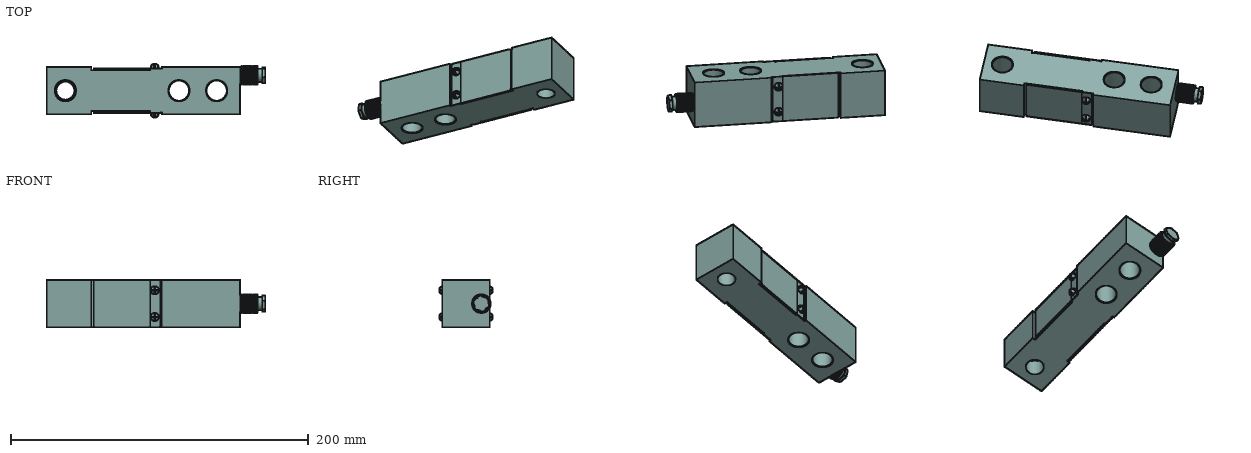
import cadquery as cq
import math


beam_length = 129.8
beam_side = 32.0
recess_start = 30.1
land_start = 69.5
recess_end = 77.4
recess_depth = 2.2
land_depth = 1.3

load_hole_x = 12.6
fixing_hole_x = 88.9
fixing_hole_pitch = 25.3
hole_diameter = 13.5
hole_mouth_diameter = 14.4
load_hole_lower_diameter = 12.0

cover_start = 31.6
cover_end = 76.4
cover_thickness = 0.5
cover_corner_radius = 1.0

overall_width = 36.3
screw_x = 72.5
screw_offset_z = 9.0
screw_diameter = 5.6
screw_slot_width = 0.6
screw_slot_depth = 2.0

overall_length = 146.9
gland_y = 10.3
thread_diameter = 12.6
thread_depth = 0.6
thread_pitch = 1.28
thread_crests = 9
first_crest = 1.2
tooth_crest_width = thread_pitch / 8
tooth_root_width = 7 * thread_pitch / 8
thread_length = 11.9
neck_diameter = 9.1
hex_length = 2.2
hex_corner_diameter = 11.5
hex_bevel_length = 0.5
hex_bevel_depth = 0.6
hex_turn = 18

half_side = beam_side / 2
land_y = half_side - land_depth
cover_face_y = land_y + cover_thickness
screw_height = overall_width / 2 - cover_face_y
screw_dome_height = math.hypot(screw_height, screw_slot_width / math.sqrt(2))


def make_beam():
    half_outline = [
        (0, half_side),
        (recess_start, half_side),
        (recess_start, half_side - recess_depth),
        (land_start, half_side - recess_depth),
        (land_start, land_y),
        (recess_end, land_y),
        (recess_end, half_side),
        (beam_length, half_side),
    ]
    mirrored_half = [(x, -y) for x, y in reversed(half_outline)]
    beam = (
        cq.Workplane("XY")
        .polyline(half_outline + mirrored_half)
        .close()
        .extrude(half_side, both=True)
    )
    beam = beam.cut(make_load_hole_cutter().translate((load_hole_x, 0, 0)))
    for x in (fixing_hole_x, fixing_hole_x + fixing_hole_pitch):
        beam = beam.cut(make_fixing_hole_cutter().translate((x, 0, 0)))
    return beam


def make_upper_hole_cutter():
    """Top half of a hole along Z, with a 45 degree countersink at its mouth."""
    radius = hole_diameter / 2
    mouth_radius = hole_mouth_diameter / 2
    profile = [
        (0, 0),
        (radius, 0),
        (radius, half_side - (mouth_radius - radius)),
        (mouth_radius, half_side),
        (0, half_side),
    ]
    return cq.Workplane("XZ").polyline(profile).close().revolve(360, (0, 0, 0), (0, 1, 0))


def make_fixing_hole_cutter():
    """Straight through hole, countersunk alike at both mouths."""
    upper = make_upper_hole_cutter()
    return upper.union(upper.mirror("XY"))


def make_load_hole_cutter():
    """Stepped through hole that narrows at mid-height."""
    lower = cq.Workplane("XY").circle(load_hole_lower_diameter / 2).extrude(-half_side)
    return make_upper_hole_cutter().union(lower)


def make_cover(side):
    """Thin plate lying on the land; side is +1 or -1 along Y."""
    length = cover_end - cover_start
    return (
        cq.Workplane("XY")
        .box(length, cover_thickness, beam_side)
        .edges("|Y")
        .fillet(cover_corner_radius)
        .translate(((cover_start + cover_end) / 2, side * (land_y + cover_thickness / 2), 0))
    )


def make_screw(side, z):
    """Domed head with a cross slot, standing on a cover plate."""
    radius = screw_diameter / 2
    middle_angle = math.radians(45)
    middle_point = (radius * math.sin(middle_angle), screw_dome_height * math.cos(middle_angle))
    head = (
        cq.Workplane("XY")
        .lineTo(radius, 0)
        .threePointArc(middle_point, (0, screw_dome_height))
        .close()
        .revolve(360, (0, 0, 0), (0, 1, 0))
    )
    slot_floor_y = screw_height - screw_slot_depth
    for size_x, size_z in (
        (screw_diameter, screw_slot_width),
        (screw_slot_width, screw_diameter),
    ):
        slot = cq.Workplane("XZ", origin=(0, slot_floor_y, 0)).rect(size_x, size_z)
        head = head.cut(slot.extrude(-screw_dome_height))
    if side < 0:
        head = head.mirror("XZ")
    return head.translate((screw_x, side * cover_face_y, z))


def make_gland():
    """Threaded sleeve, neck and hexagon in one piece along X."""
    crest_radius = thread_diameter / 2
    root_radius = crest_radius - thread_depth
    neck_radius = neck_diameter / 2
    thread_end = beam_length + thread_length
    hex_start = overall_length - hex_length

    profile = [(beam_length, 0), (beam_length, root_radius)]
    for crest in range(thread_crests):
        crest_x = beam_length + first_crest + crest * thread_pitch
        profile += [
            (crest_x - tooth_root_width / 2, root_radius),
            (crest_x - tooth_crest_width / 2, crest_radius),
            (crest_x + tooth_crest_width / 2, crest_radius),
            (crest_x + tooth_root_width / 2, root_radius),
        ]
    profile += [
        (thread_end, root_radius),
        (thread_end, neck_radius),
        (hex_start, neck_radius),
        (hex_start, 0),
    ]
    sleeve = cq.Workplane("XY").polyline(profile).close().revolve(360, (0, 0, 0), (1, 0, 0))
    return sleeve.union(make_gland_hex(hex_start)).translate((0, gland_y, 0))


def make_gland_hex(hex_start):
    """Hexagon whose outer corners are bevelled by a cone."""
    corner_radius = hex_corner_diameter / 2
    hexagon = (
        cq.Workplane("YZ", origin=(hex_start, 0, 0))
        .polygon(6, hex_corner_diameter)
        .extrude(hex_length)
        .rotate((0, 0, 0), (1, 0, 0), -hex_turn)
    )
    bevelled_rod = (
        cq.Workplane("YZ", origin=(hex_start, 0, 0))
        .circle(corner_radius)
        .extrude(hex_length)
        .faces(">X")
        .chamfer(hex_bevel_depth, hex_bevel_length)
    )
    return hexagon.intersect(bevelled_rod)


beam = make_beam()
covers = [make_cover(side) for side in (-1, 1)]
screws = [make_screw(side, z) for side in (-1, 1) for z in (-screw_offset_z, screw_offset_z)]
gland = make_gland()

bodies = [beam, *covers, *screws, gland]
result = cq.Compound.makeCompound([body.val() for body in bodies])